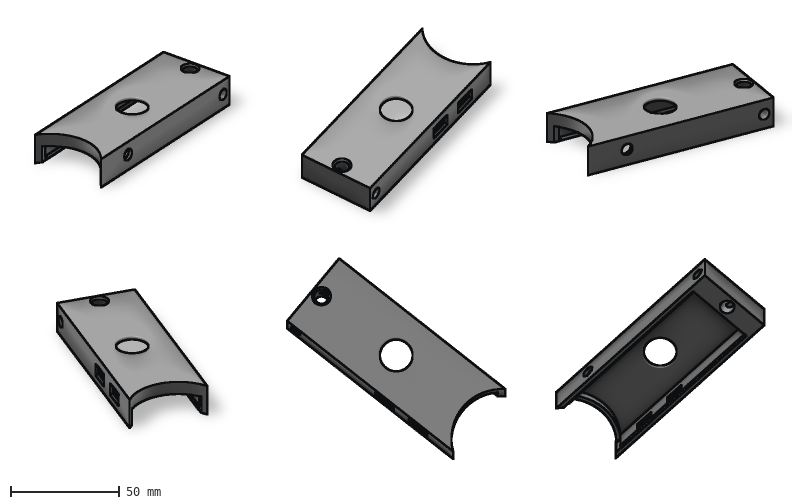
import cadquery as cq

width = 38.2
length = 98.6
height = 15.0

wall = 2.0
end_block = 9.9
cavity_width = width - 2 * wall

opening_width = 33.9
opening_height = 8.5

front_arc_depth = 9.9
front_radius = ((width / 2) ** 2 + front_arc_depth**2) / (2 * front_arc_depth)
front_centre_y = front_arc_depth - front_radius
inner_radius = front_radius + wall

bead_height = 2.1
bead_depth = 0.8

roof_hole_y = 49.3
roof_hole_diameter = 15.0
roof_hole_round = 1.0
end_hole_y = 93.7
end_hole_diameter = 6.7
end_hole_chamfer = 1.0

cross_hole_diameter = 5.4
cross_hole_z = height / 2

window_length = 9.4
window_height = 3.5
window_flare_y = 1.0
window_flare_z = 1.3
window_flare_depth = wall / 2
window_z = 6.8
front_window_y = 20.9
window_spacing = 19.9
window_count = 2

port_diameter = 5.7
port_z = 8.1


def make_body():
    """Block with its concave front face."""
    return (
        cq.Workplane("XY")
        .moveTo(-width / 2, 0)
        .threePointArc((0, front_arc_depth), (width / 2, 0))
        .lineTo(width / 2, length)
        .lineTo(-width / 2, length)
        .close()
        .extrude(height)
    )


def make_cylinder(y, radius, depth):
    """Vertical cylinder on the centre plane, rising from the underside."""
    return cq.Workplane("XY").center(0, y).circle(radius).extrude(depth)


def make_cavity():
    """Cavity with a front end concentric to the outer concave face."""
    depth = height - wall
    cavity_length = length - end_block
    box = cq.Workplane("XY").box(cavity_width, cavity_length, depth, centered=(True, False, False))
    return box.cut(make_cylinder(front_centre_y, inner_radius, depth))


def make_front_opening():
    """Opening that cuts the curved front wall only."""
    slab_length = front_arc_depth + wall
    slab = cq.Workplane("XY").box(opening_width, slab_length, opening_height, centered=(True, False, False))
    return slab.intersect(make_cylinder(front_centre_y, inner_radius, opening_height))


def make_bead(side):
    """Rounded bead on one side wall (side is -1 or 1), from the front wall to the end block."""
    face_x = side * cavity_width / 2
    bead = (
        cq.Workplane("XZ")
        .moveTo(face_x, 0)
        .threePointArc((face_x - side * bead_depth, bead_height / 2), (face_x, bead_height))
        .close()
        .extrude(end_block - length)
    )
    return bead.cut(make_cylinder(front_centre_y, inner_radius, height))


def make_roof_hole():
    """Hole through the roof whose rim is rounded above and below."""
    radius = roof_hole_diameter / 2
    rim_radius = radius + roof_hole_round
    blank = cq.Workplane("XY", origin=(0, roof_hole_y, height - wall)).circle(rim_radius).extrude(wall)
    rim = cq.Workplane(
        cq.Solid.makeTorus(
            rim_radius, roof_hole_round, cq.Vector(0, roof_hole_y, height - wall / 2), cq.Vector(0, 0, 1)
        )
    )
    return blank.cut(rim)


def make_end_hole():
    """Vertical through hole with a 45 degree chamfer at the top."""
    radius = end_hole_diameter / 2
    chamfer_base = cq.Vector(0, end_hole_y, height - end_hole_chamfer)
    cone = cq.Solid.makeCone(radius, radius + end_hole_chamfer, end_hole_chamfer, pnt=chamfer_base)
    return make_cylinder(end_hole_y, radius, height).union(cq.Workplane(cone))


def make_window(y):
    """Rectangular opening that tapers from the outer face to a straight inner section."""
    flare = (
        cq.Workplane("YZ", origin=(-width / 2, y, window_z))
        .rect(window_length + 2 * window_flare_y, window_height + 2 * window_flare_z)
        .workplane(offset=window_flare_depth)
        .rect(window_length, window_height)
        .loft(ruled=True)
    )
    straight = (
        cq.Workplane("YZ", origin=(-width / 2, y, window_z))
        .rect(window_length, window_height)
        .extrude(wall)
    )
    return flare.union(straight)


def make_cross_hole():
    return (
        cq.Workplane("YZ", origin=(-width / 2, end_hole_y, cross_hole_z))
        .circle(cross_hole_diameter / 2)
        .extrude(width)
    )


def make_port():
    return (
        cq.Workplane("YZ", origin=(cavity_width / 2, front_window_y, port_z))
        .circle(port_diameter / 2)
        .extrude(wall)
    )


result = make_body().cut(make_cavity()).cut(make_front_opening())
for side in (-1, 1):
    result = result.union(make_bead(side))
result = result.cut(make_roof_hole())
result = result.cut(make_end_hole())
result = result.cut(make_cross_hole())
for index in range(window_count):
    result = result.cut(make_window(front_window_y + index * window_spacing))
result = result.cut(make_port())